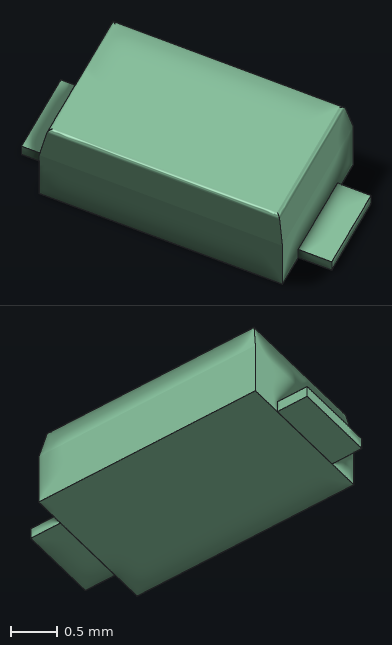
import cadquery as cq
import math

overall_length = 3.7
housing_width = 1.8
housing_height = 1.08

housing_length = 2.9
straight_height = 0.68
draft_angle = 10.0
top_edge_radius = 0.05

lead_width = 1.0
lead_thickness = 0.148
lead_length = (overall_length - housing_length) / 2

taper_height = housing_height - straight_height
taper_inset = taper_height * math.tan(math.radians(draft_angle))


def make_housing():
    """Moulded block whose four sides lean inwards above the straight part."""
    lower = cq.Workplane("XY").rect(housing_length, housing_width).extrude(straight_height)
    upper = (
        cq.Workplane("XY")
        .workplane(offset=straight_height)
        .rect(housing_length, housing_width)
        .workplane(offset=taper_height)
        .rect(housing_length - 2 * taper_inset, housing_width - 2 * taper_inset)
        .loft(ruled=True)
    )
    return lower.union(upper).faces(">Z").edges().fillet(top_edge_radius).solids()


def make_lead(side):
    """Flat lead on one end of the housing; side is -1 or 1 along X."""
    center_x = side * (housing_length + lead_length) / 2
    return (
        cq.Workplane("XY")
        .center(center_x, 0)
        .rect(lead_length, lead_width)
        .extrude(lead_thickness)
    )


housing = make_housing()
leads = [make_lead(side) for side in (-1, 1)]

result = cq.Compound.makeCompound([housing.val(), *[lead.val() for lead in leads]])